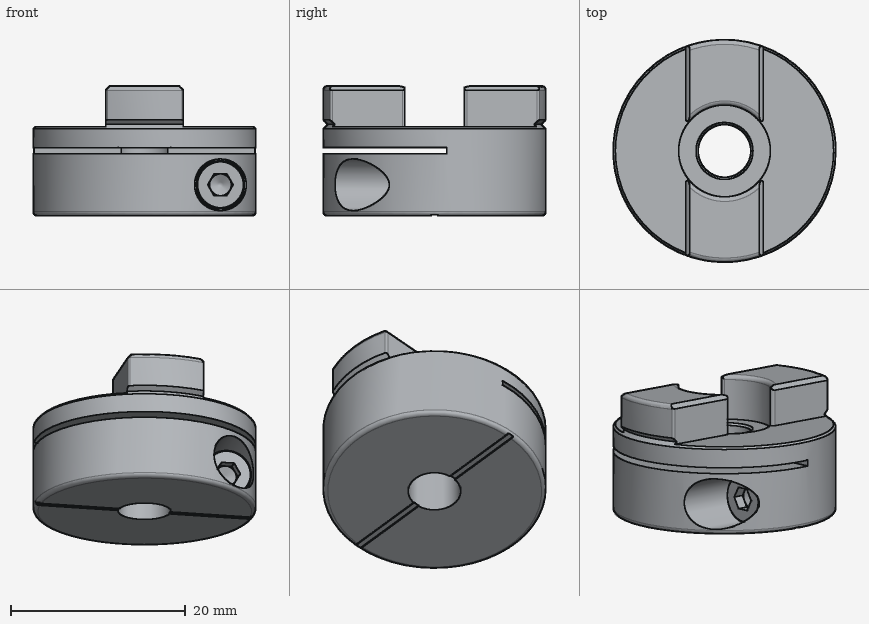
import cadquery as cq
import math

RADIUS = 12.75
BODY_HEIGHT = 10.23
TOTAL_HEIGHT = 14.9
EDGE_SIZE = 0.5
SMALL_EDGE = 0.25
CORNER_RADIUS = 0.3

BORE_RADIUS = 3.0
RECESS_RADIUS = 5.25
RECESS_DEPTH = 0.5
JAW_WIDTH = 8.92

SLIT_BOTTOM = 7.15
SLIT_HEIGHT = 0.7
SLIT_END_Y = 1.38

BASE_GROOVE_WIDTH = 0.76
BASE_GROOVE_DEPTH = 0.13

SCREW_X = 8.7
SCREW_Z = SLIT_BOTTOM / 2
COUNTERBORE_RADIUS = 2.95
HEAD_SEAT_Y = -2.05
HEAD_RADIUS = 2.75
HEAD_HEIGHT = 3.0
HEAD_CHAMFER = 0.13
SHANK_RADIUS = HEAD_HEIGHT / 2
SHANK_LENGTH = 8.0
HEX_FLATS = 2.5
HEX_DEPTH = 1.28
HEX_CONE_HEIGHT = 0.71


def make_jaws():
    """Two opposed jaws with rounded ends, bevelled sides and rounded upright corners."""
    floor = BODY_HEIGHT - RECESS_DEPTH
    height = TOTAL_HEIGHT - floor
    base = cq.Workplane("XY").workplane(offset=floor)
    ring = base.circle(RADIUS).circle(RECESS_RADIUS).extrude(height)
    bar = base.rect(JAW_WIDTH, 2 * RADIUS).extrude(height)
    jaws = ring.intersect(bar).edges("|Z").fillet(CORNER_RADIUS)
    rounded_ring = ring.faces(">Z").edges().fillet(EDGE_SIZE)
    bevelled_bar = bar.faces(">Z").edges("|Y").chamfer(EDGE_SIZE)
    return jaws.intersect(rounded_ring).intersect(bevelled_bar)


def make_rim_groove():
    """V groove under the jaws; its lower flank is also the chamfer of the body rim."""
    apex_z = BODY_HEIGHT - SMALL_EDGE + EDGE_SIZE
    profile = [
        (RADIUS, apex_z - EDGE_SIZE),
        (RADIUS - EDGE_SIZE, apex_z),
        (RADIUS, apex_z + EDGE_SIZE),
    ]
    return cq.Workplane("XZ").polyline(profile).close().revolve(360, (0, 0), (0, 1))


def along_screw(radius, start_y, length):
    """Cylinder on the screw axis running toward +Y from start_y."""
    start = cq.Vector(SCREW_X, start_y, SCREW_Z)
    return cq.Workplane(cq.Solid.makeCylinder(radius, length, start, cq.Vector(0, 1, 0)))


def make_slit():
    """Horizontal slit from the -Y side to just past the shaft axis."""
    length = RADIUS + SLIT_END_Y
    return (
        cq.Workplane("XY")
        .box(2 * RADIUS, length, SLIT_HEIGHT, centered=(True, False, False))
        .translate((0, -RADIUS, SLIT_BOTTOM))
    )


def make_hub():
    body = cq.Workplane("XY").circle(RADIUS).extrude(BODY_HEIGHT).faces("<Z").edges().fillet(EDGE_SIZE)
    floor = BODY_HEIGHT - RECESS_DEPTH
    recess = cq.Workplane("XY").workplane(offset=floor).circle(RECESS_RADIUS).extrude(RECESS_DEPTH)
    bore = cq.Workplane("XY").circle(BORE_RADIUS).extrude(BODY_HEIGHT)
    bore_chamfer = cq.Workplane(cq.Solid.makeCone(
        BORE_RADIUS, BORE_RADIUS + SMALL_EDGE, SMALL_EDGE, cq.Vector(0, 0, floor - SMALL_EDGE),
    ))
    base_groove = cq.Workplane("XY").rect(2 * RADIUS, BASE_GROOVE_WIDTH).extrude(BASE_GROOVE_DEPTH)
    body = body.cut(recess).cut(bore).cut(bore_chamfer).cut(base_groove)
    hub = body.union(make_jaws()).cut(make_rim_groove()).cut(make_slit())
    hub = hub.cut(along_screw(COUNTERBORE_RADIUS, -RADIUS, RADIUS + HEAD_SEAT_Y))
    return hub.cut(along_screw(SHANK_RADIUS, HEAD_SEAT_Y, SHANK_LENGTH))


def make_screw():
    """Socket head screw whose hexagonal socket ends in a cone."""
    head_top_y = HEAD_SEAT_Y - HEAD_HEIGHT
    head = along_screw(HEAD_RADIUS, head_top_y, HEAD_HEIGHT).faces("<Y").edges().chamfer(HEAD_CHAMFER)
    hex_corners = HEX_FLATS / math.cos(math.pi / 6)
    socket = (
        cq.Workplane("XZ", origin=(SCREW_X, head_top_y, SCREW_Z))
        .polygon(6, hex_corners).extrude(-HEX_DEPTH)
    )
    cone = cq.Solid.makeCone(
        HEX_FLATS / 2, 0, HEX_CONE_HEIGHT,
        cq.Vector(SCREW_X, head_top_y + HEX_DEPTH, SCREW_Z), cq.Vector(0, 1, 0),
    )
    shank = along_screw(SHANK_RADIUS, HEAD_SEAT_Y, SHANK_LENGTH)
    return head.union(shank).cut(socket).cut(cq.Workplane(cone))


hub = make_hub()
screw = make_screw()
result = cq.Compound.makeCompound([hub.val(), screw.val()])